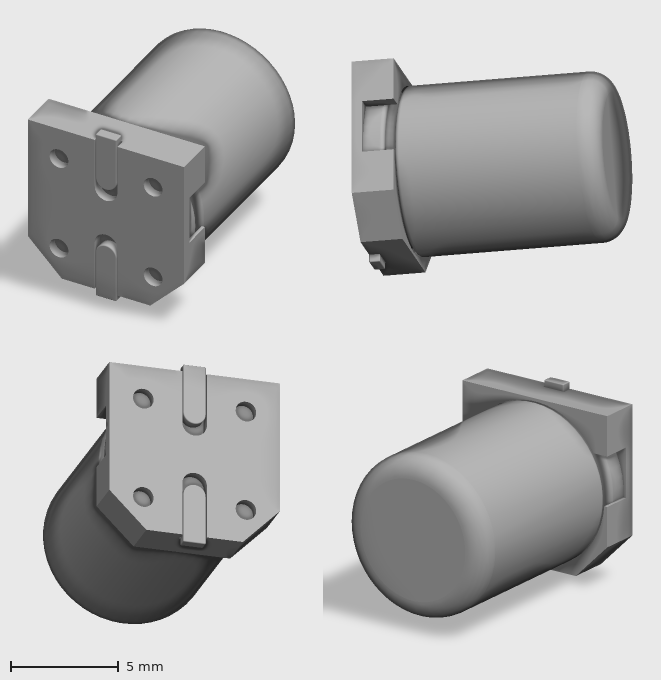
import cadquery as cq


base_width = 8.3
base_depth = 2.0
floor_thickness = 0.5
corner_chamfer = 1.8

can_radius = 4.0
can_top = 11.7
can_top_rounding = 1.0

groove_radius = 3.5
groove_center = 1.75
groove_width = 0.5
groove_lip_rounding = 0.2
groove_root_rounding = 0.19

window_height = 2.5
window_center_z = 0.9

vent_diameter = 1.0
vent_offset = 2.5

slot_width = 1.2
slot_inner_end = 0.95
lead_width = 1.1
lead_inner_end = 1.55
lead_outer_end = 4.5
lead_standoff = 0.02
lead_edge_rounding = 0.05


def box_between(x_range, y_range, z_range):
    """Axis-aligned box given by its lower and upper limit along each axis."""
    lower, upper = zip(x_range, y_range, z_range)
    size = [high - low for low, high in zip(lower, upper)]
    return cq.Workplane("XY").box(*size, centered=False).translate(lower)


def round_ended_bar(width, inner_end, outer_end, y_start, y_end):
    """Bar along +Z with a half-round inner end and a square outer end."""
    half_width = width / 2
    return (
        cq.Workplane("XZ", origin=(0, y_start, 0))
        .moveTo(-half_width, outer_end)
        .lineTo(-half_width, inner_end + half_width)
        .threePointArc((0, inner_end), (half_width, inner_end + half_width))
        .lineTo(half_width, outer_end)
        .close()
        .extrude(y_start - y_end)
    )


def turned_about_can_axis(body, angle):
    return body.rotate((0, 0, 0), (0, 1, 0), angle)


def round_circles(body, radius, lower, upper, rounding):
    """Fillet the circular edges of one radius that lie between two heights along the can axis."""
    margin = 0.01
    reach = can_radius + 1
    band = cq.selectors.BoxSelector(
        (-reach, lower - margin, -reach),
        (reach, upper + margin, reach),
    )
    candidates = body.edges("%CIRCLE").edges(band).vals()
    circles = [edge for edge in candidates if abs(edge.radius() - radius) < margin]
    return body.newObject(circles).fillet(rounding)


def make_can():
    groove_start = groove_center - groove_width / 2
    groove_end = groove_center + groove_width / 2
    profile = (
        cq.Workplane("XY")
        .moveTo(0, floor_thickness)
        .lineTo(can_radius, floor_thickness)
        .lineTo(can_radius, groove_start)
        .lineTo(groove_radius, groove_start)
        .lineTo(groove_radius, groove_end)
        .lineTo(can_radius, groove_end)
        .lineTo(can_radius, can_top)
        .lineTo(0, can_top)
        .close()
    )
    can = profile.revolve(360, (0, 0, 0), (0, 1, 0))
    can = can.faces(">Y").edges().fillet(can_top_rounding)
    can = round_circles(can, can_radius, groove_start, groove_end, groove_lip_rounding)
    return round_circles(can, groove_radius, groove_start, groove_end, groove_root_rounding)


def make_base():
    half_width = base_width / 2
    base = box_between((-half_width, half_width), (0, base_depth), (-half_width, half_width))
    base = base.faces("<Z").edges("|Y").chamfer(corner_chamfer)
    recess = cq.Workplane("XZ", origin=(0, floor_thickness, 0)).circle(can_radius).extrude(-base_depth)
    window = box_between(
        (-half_width, half_width),
        (floor_thickness, base_depth),
        (window_center_z - window_height / 2, window_center_z + window_height / 2),
    )
    vents = (
        cq.Workplane("XZ")
        .rect(2 * vent_offset, 2 * vent_offset, forConstruction=True)
        .vertices()
        .circle(vent_diameter / 2)
        .extrude(-floor_thickness)
    )
    base = base.cut(recess).cut(window).cut(vents)
    slot = round_ended_bar(slot_width, slot_inner_end, half_width, 0, floor_thickness)
    for angle in (0, 180):
        base = base.cut(turned_about_can_axis(slot, angle))
    return base


def make_lead(angle):
    lead = round_ended_bar(lead_width, lead_inner_end, lead_outer_end, -lead_standoff, floor_thickness)
    lead = lead.edges().fillet(lead_edge_rounding)
    return turned_about_can_axis(lead, angle)


can = make_can()
base = make_base()
leads = [make_lead(angle) for angle in (0, 180)]

result = cq.Compound.makeCompound([can.val(), base.val(), *[lead.val() for lead in leads]])